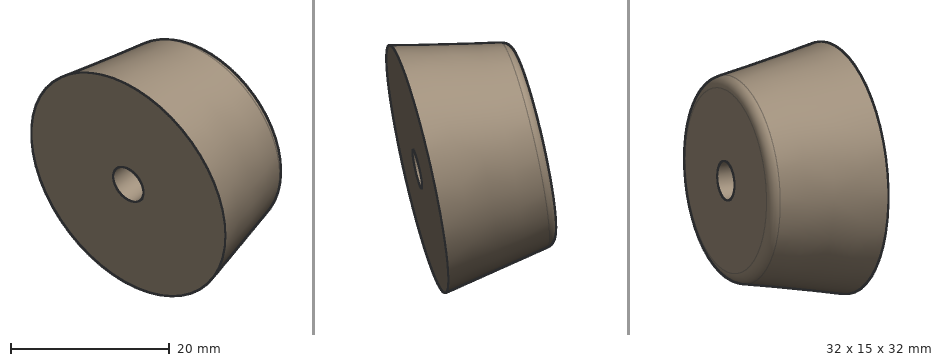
import cadquery as cq

base_diameter = 32
tip_diameter = 26.0
height = 15.0
edge_radius = 1.5
hole_diameter = 5.0

half_section = (
    cq.Workplane("XY")
    .polyline([(0, 0), (base_diameter / 2, 0), (tip_diameter / 2, height), (0, height)])
    .close()
)
body = half_section.revolve(360, (0, 0), (0, 1))

body = body.faces(">Y").edges().fillet(edge_radius)

result = body.faces("<Y").workplane(centerOption="CenterOfMass").hole(hole_diameter)